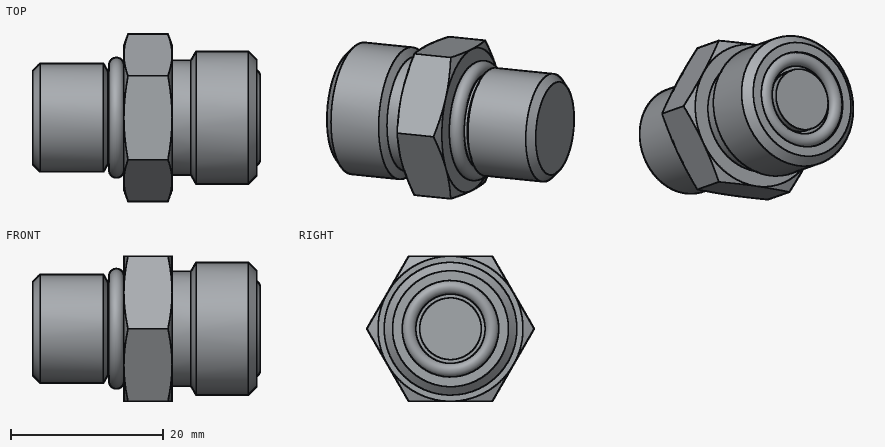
import cadquery as cq
import math

total_length = 29.92
hex_across_flats = 19.05
hex_start = 12.0
hex_end = 18.3
hex_chamfer_angle = 20.0

stud_diameter = 14.27
stud_neck_diameter = 12.3
stud_shoulder_x = 9.3

collar_diameter = 17.45
collar_neck_diameter = 15.1
collar_taper_x = 20.8
collar_end_chamfer = 1.1
collar_face_x = 29.45

relief_angle = 30.0

stud_ring_outer_diameter = 15.83
stud_ring_section = 1.97

groove_inner_diameter = 8.1
groove_outer_diameter = 12.7
face_ring_section = 1.8
groove_depth = face_ring_section - (total_length - collar_face_x)


def make_ring(outer_diameter, section_diameter, center_x):
    """O-ring of round section around the X axis."""
    center_radius = (outer_diameter - section_diameter) / 2
    return (
        cq.Workplane("XY")
        .center(center_x, center_radius)
        .circle(section_diameter / 2)
        .revolve(360, (0, -center_radius), (1, -center_radius))
    )


def revolve_profile(points):
    """Closed (x, radius) profile turned around the X axis."""
    return cq.Workplane("XY").polyline(points).close().revolve(360, (0, 0), (1, 0))


def make_turned_core():
    """Stud, both necks and collar as one turned profile."""
    stud_radius = stud_diameter / 2
    stud_neck_radius = stud_neck_diameter / 2
    collar_radius = collar_diameter / 2
    collar_neck_radius = collar_neck_diameter / 2
    stud_chamfer = stud_radius - stud_neck_radius
    relief_slope = math.tan(math.radians(relief_angle))
    stud_relief_x = stud_shoulder_x + stud_chamfer * relief_slope
    collar_start_x = collar_taper_x + (collar_radius - collar_neck_radius) * relief_slope
    hex_middle = (hex_start + hex_end) / 2
    return revolve_profile([
        (0, 0),
        (0, stud_neck_radius),
        (stud_chamfer, stud_radius),
        (stud_shoulder_x, stud_radius),
        (stud_relief_x, stud_neck_radius),
        (hex_middle, stud_neck_radius),
        (hex_middle, collar_neck_radius),
        (collar_taper_x, collar_neck_radius),
        (collar_start_x, collar_radius),
        (collar_face_x - collar_end_chamfer, collar_radius),
        (collar_face_x, collar_radius - collar_end_chamfer),
        (collar_face_x, 0),
    ])


def make_hexagon():
    """Hexagon with corners on +Y and -Y, both ends chamfered by a cone."""
    corner_radius = hex_across_flats / math.sqrt(3)
    flat_radius = hex_across_flats / 2
    chamfer_length = (corner_radius - flat_radius) * math.tan(math.radians(hex_chamfer_angle))
    prism = (
        cq.Workplane("YZ", origin=(hex_start, 0, 0))
        .polygon(6, 2 * corner_radius)
        .extrude(hex_end - hex_start)
    )
    chamfer_envelope = revolve_profile([
        (hex_start, 0),
        (hex_start, flat_radius),
        (hex_start + chamfer_length, corner_radius),
        (hex_end - chamfer_length, corner_radius),
        (hex_end, flat_radius),
        (hex_end, 0),
    ])
    return prism.intersect(chamfer_envelope)


def make_face_groove():
    """Ring-shaped groove in the collar's end face."""
    return (
        cq.Workplane("YZ", origin=(collar_face_x - groove_depth, 0, 0))
        .circle(groove_outer_diameter / 2)
        .circle(groove_inner_diameter / 2)
        .extrude(groove_depth)
    )


stud_ring = make_ring(stud_ring_outer_diameter, stud_ring_section, hex_start - stud_ring_section / 2)
face_ring = make_ring(groove_outer_diameter, face_ring_section, total_length - face_ring_section / 2)

fitting = make_turned_core().union(make_hexagon()).cut(make_face_groove()).cut(stud_ring)

result = cq.Compound.makeCompound([fitting.solids().val(), stud_ring.val(), face_ring.val()])